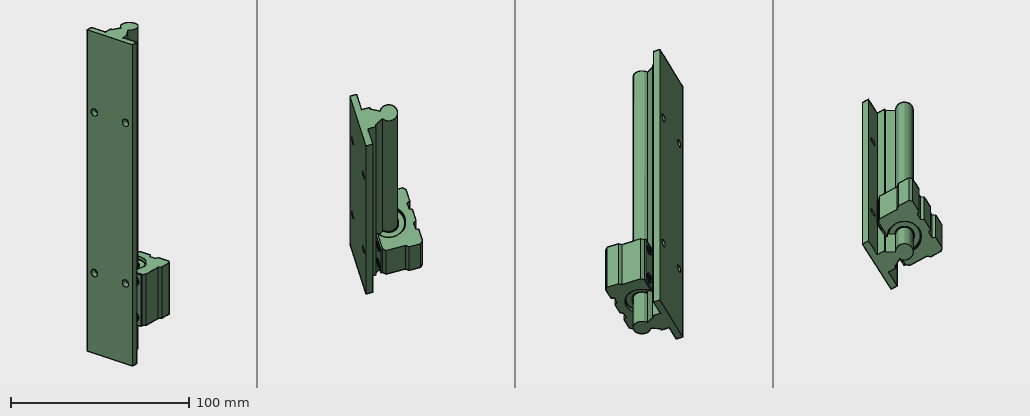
import cadquery as cq
import math

rail_length = 200.0
base_width = 32.0
base_thickness = 4.0
web_width = 12.5
web_top = 8.8
shaft_radius = 5.0
shaft_height = 18.0
neck_top_half_width = 2.5
flank_angle = 30.0
rail_hole_diameter = 4.5
rail_hole_offset = 11.0
rail_hole_levels = (50.0, 150.0)

housing_length = 32.0
housing_center_z = 37.0
housing_end_z = housing_center_z - housing_length / 2
housing_half_width = 18.0
housing_lower_half_width = 16.5
housing_top = 33.0
housing_bottom = 10.0
top_chamfer = 1.5
side_step_top = 24.5
side_step_height = 1.5
bottom_chamfer_height = 1.5
groove_depth = 1.8
groove_inner = 3.5
groove_outer = 9.2
groove_slope = 1.0

bearing_diameter = 19.0
bearing_radius = bearing_diameter / 2
bearing_recess = 1.5
bearing_chamfer = 0.5
bore_relief_radius = 5.5
bore_relief_depth = 0.5
mouth_axis_half_width = 1.2

plate_inner = 5.2
plate_outer = 15.0
plate_thickness = 1.0
plate_bottom = housing_bottom - plate_thickness
screw_offset = 10.8
screw_spacing = 22.2
head_diameter = 5.5
head_height = 0.5
cross_length = 3.0
cross_width = 0.8
cross_depth = 0.5
shank_diameter = 3.0
shank_length = 6.0

flank_slope = math.tan(math.radians(flank_angle))
neck_top = shaft_height - math.sqrt(shaft_radius**2 - neck_top_half_width**2)
screw_places = [
    (side * screw_offset, housing_center_z + end * screw_spacing / 2)
    for side in (-1, 1)
    for end in (-1, 1)
]


def prism(half_outline, start_z, length):
    """Extrude along Z the outline made of the +X points, listed from -Y to +Y, and their mirror images."""
    mirrored = [(-x, y) for x, y in reversed(half_outline)]
    outline = cq.Workplane("XY", origin=(0, 0, start_z)).polyline(half_outline + mirrored)
    return outline.close().extrude(length)


def cylinder_along_z(radius, start_z, length):
    return cq.Workplane("XY", origin=(0, shaft_height, start_z)).circle(radius).extrude(length)


def cylinder_along_y(diameter, x, z, start_y, length):
    axis = cq.Vector(0, 1, 0)
    return cq.Workplane(cq.Solid.makeCylinder(diameter / 2, length, cq.Vector(x, start_y, z), axis))


def make_shank(x, z):
    return cylinder_along_y(shank_diameter, x, z, plate_bottom, shank_length)


def make_rail():
    neck_bottom_half_width = neck_top_half_width + (neck_top - web_top) * flank_slope
    support = prism(
        [
            (base_width / 2, 0),
            (base_width / 2, base_thickness),
            (web_width / 2, base_thickness),
            (web_width / 2, web_top),
            (neck_bottom_half_width, web_top),
            (neck_top_half_width, neck_top),
            (neck_top_half_width, shaft_height),
        ],
        0,
        rail_length,
    )
    rail = support.union(cylinder_along_z(shaft_radius, 0, rail_length))
    for x in (-rail_hole_offset, rail_hole_offset):
        for z in rail_hole_levels:
            rail = rail.cut(cylinder_along_y(rail_hole_diameter, x, z, 0, base_thickness))
    return rail


def make_housing():
    groove_floor = housing_top - groove_depth
    housing = prism(
        [
            (plate_outer, housing_bottom),
            (housing_lower_half_width, housing_bottom + bottom_chamfer_height),
            (housing_lower_half_width, side_step_top - side_step_height),
            (housing_half_width, side_step_top),
            (housing_half_width, housing_top - top_chamfer),
            (housing_half_width - top_chamfer, housing_top),
            (groove_outer, housing_top),
            (groove_outer - groove_slope, groove_floor),
            (groove_inner + groove_slope, groove_floor),
            (groove_inner, housing_top),
        ],
        housing_end_z,
        housing_length,
    )
    housing = housing.cut(cylinder_along_z(bearing_radius, housing_end_z, housing_length))
    for x, z in screw_places:
        housing = housing.cut(make_shank(x, z))
    return housing


def make_bearing():
    start_z = housing_end_z + bearing_recess
    length = housing_length - 2 * bearing_recess
    sleeve = cylinder_along_z(bearing_radius, start_z, length)
    sleeve = sleeve.faces("|Z").chamfer(bearing_chamfer)
    sleeve = sleeve.cut(cylinder_along_z(shaft_radius, start_z, length))
    for relief_z in (start_z, start_z + length - bore_relief_depth):
        sleeve = sleeve.cut(cylinder_along_z(bore_relief_radius, relief_z, bore_relief_depth))
    mouth = prism(
        [
            (mouth_axis_half_width + bearing_radius * flank_slope, shaft_height - bearing_radius),
            (mouth_axis_half_width, shaft_height),
        ],
        start_z,
        length,
    )
    return sleeve.cut(mouth)


def make_plate(side):
    center = (side * (plate_inner + plate_outer) / 2, plate_bottom + plate_thickness / 2, housing_center_z)
    plate = cq.Workplane("XY", origin=center).box(
        plate_outer - plate_inner, plate_thickness, housing_length
    )
    for x, z in screw_places:
        plate = plate.cut(make_shank(x, z))
    return plate


def make_screw(x, z):
    head_end = plate_bottom - head_height
    head = cylinder_along_y(head_diameter, x, z, head_end, head_height)
    screw = head.union(make_shank(x, z))
    cross_center_y = head_end + cross_depth / 2
    for size_x, size_z in ((cross_length, cross_width), (cross_width, cross_length)):
        screw = screw.cut(cq.Workplane("XY", origin=(x, cross_center_y, z)).box(size_x, cross_depth, size_z))
    return screw


rail = make_rail()
housing = make_housing()
bearing = make_bearing()
plates = [make_plate(side) for side in (-1, 1)]
screws = [make_screw(x, z) for x, z in screw_places]

result = cq.Compound.makeCompound(
    [
        rail.val(),
        housing.val(),
        bearing.val(),
        *[plate.val() for plate in plates],
        *[screw.val() for screw in screws],
    ]
)